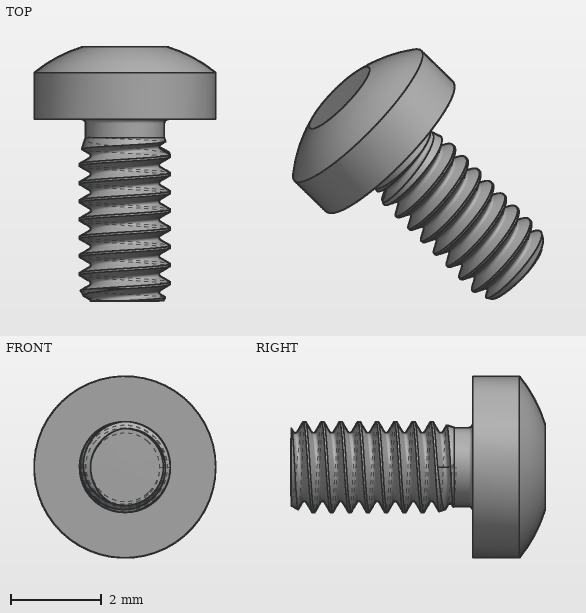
import cadquery as cq
import math

length = 5.6
thread_radius = 0.9995
thread_diameter = 2 * thread_radius

head_radius = thread_diameter
head_height = 0.8 * thread_diameter
dome_height = 0.57
crown_radius = 0.93
head_edge_fillet = 0.035

shank_length = length - head_height
neck_fillet = 0.085
tip_radius = 0.845
tip_chamfer_angle = math.radians(30)
tip_point_height = 0.01
tip_point_radius = 0.805

pitch = thread_diameter / 5
flank_angle = math.radians(30)
crest_width = pitch / 8
groove_half_width = (pitch - crest_width) / 2
sharp_depth = groove_half_width / math.tan(flank_angle)
root_round = pitch * math.sqrt(3) / 12
thread_depth = sharp_depth - root_round
root_radius = thread_radius - thread_depth
neck_radius = thread_radius - pitch * 3 * math.sqrt(3) / 16
neck_length = pitch
lead_in_length = pitch
groove_start = 1.5 * pitch
runout_turns = 0.75
runout_rise = 0.16
groove_overrun = pitch
cutter_clearance = 0.03
seam_angle = 140


def make_head():
    rim_z = dome_height - head_height
    centre_depth = (head_radius**2 + dome_height**2 - crown_radius**2) / (2 * dome_height)
    dome_radius = math.hypot(crown_radius, centre_depth)
    mid_radius = (crown_radius + head_radius) / 2
    mid_z = -head_height + centre_depth - math.sqrt(dome_radius**2 - mid_radius**2)
    head = (
        cq.Workplane("XZ")
        .moveTo(0, 0)
        .lineTo(head_radius, 0)
        .lineTo(head_radius, rim_z)
        .threePointArc((mid_radius, mid_z), (crown_radius, -head_height))
        .lineTo(0, -head_height)
        .close()
        .revolve(360, (0, 0, 0), (0, 1, 0))
    )
    return head.faces(">Z").edges().fillet(head_edge_fillet)


def make_shank_blank():
    tip_edge_z = shank_length - tip_point_height
    chamfer_length = (thread_radius - tip_radius) / math.tan(tip_chamfer_angle)
    fillet_mid = neck_fillet * (1 - math.sqrt(0.5))
    return (
        cq.Workplane("XZ")
        .moveTo(0, -dome_height)
        .lineTo(neck_radius + neck_fillet, -dome_height)
        .lineTo(neck_radius + neck_fillet, 0)
        .threePointArc((neck_radius + fillet_mid, fillet_mid), (neck_radius, neck_fillet))
        .lineTo(neck_radius, neck_length)
        .lineTo(thread_radius, neck_length + lead_in_length)
        .lineTo(thread_radius, tip_edge_z - chamfer_length)
        .lineTo(tip_radius, tip_edge_z)
        .lineTo(tip_point_radius, tip_edge_z)
        .lineTo(0, shank_length)
        .close()
        .revolve(360, (0, 0, 0), (0, 1, 0))
    )


def groove_section(root):
    outer = root + thread_depth + cutter_clearance
    outer_half_width = groove_half_width + cutter_clearance * math.tan(flank_angle)
    tangent_x = root + root_round * (1 - math.sin(flank_angle))
    tangent_z = root_round * math.cos(flank_angle)
    return (
        cq.Workplane("XZ")
        .moveTo(outer, -outer_half_width)
        .lineTo(tangent_x, -tangent_z)
        .threePointArc((root, 0), (tangent_x, tangent_z))
        .lineTo(outer, outer_half_width)
        .close()
    )


def make_groove():
    height = shank_length + groove_overrun - groove_start
    helix = cq.Wire.makeHelix(pitch, height, root_radius)
    groove = groove_section(root_radius).sweep(cq.Workplane(helix), isFrenet=True)
    return groove.translate((0, 0, groove_start))


def make_groove_runout():
    height = runout_turns * pitch
    side_length = math.hypot(runout_rise, height)
    taper = math.degrees(math.atan(runout_rise / height))
    outer_root = root_radius + runout_rise
    helix = cq.Wire.makeHelix(side_length / runout_turns, side_length, outer_root, angle=-taper)
    runout = groove_section(outer_root).sweep(cq.Workplane(helix), isFrenet=True)
    turn = -360 * runout_turns
    return runout.rotate((0, 0, 0), (0, 0, 1), turn).translate((0, 0, groove_start - height))


blank = make_shank_blank().rotate((0, 0, 0), (0, 0, 1), seam_angle)
shank = blank.cut(make_groove()).cut(make_groove_runout())
screw = make_head().union(shank)
result = screw.rotate((0, 0, 0), (1, 0, 0), 90)